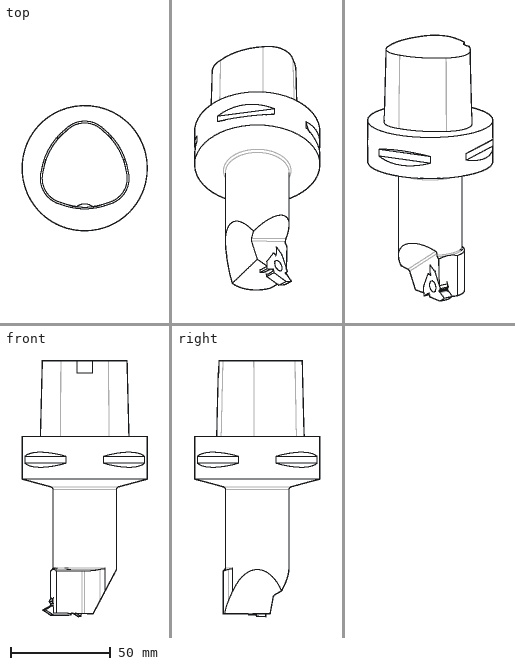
import cadquery as cq
import math

OVERALL_LENGTH = 128.6

SHANK_TOP = 38.1
FLANGE_BOTTOM = -21.5
HEAD_TOP = -66.0
HEAD_END = -90

LOBE_REACH = 23.7
SEAM_REACH = 21.9
VALLEY_REACH = 20.5
LOBE_COUNT = 3
SEAM_ANGLE = 26
SHANK_TAPER = math.degrees(math.atan(1 / 40))

NOTCH_RADIUS = 5.9
NOTCH_DEPTH = 6.3
NOTCH_REACH = 17.9

FLANGE_DIAMETER = 63
CONE_ANGLE = 15
CONE_FILLET = 1.3
SLOT_COUNT = 4
FIRST_SLOT_ANGLE = 45
SLOT_LEVEL = -11.7
SLOT_FLOOR = 27.9
SLOT_FLOOR_HEIGHT = 3.5
SLOT_SIDE_ANGLE = 30

NECK_DIAMETER = 32.0
HEAD_RADIUS = 17.2
HEAD_FILLET = 1.0
SHOULDER_ANGLE = 45
HEAD_FLAT_DISTANCE = 16.3
NOSE_RADIUS = 12.6
NOSE_SWEEP = 38
NOSE_START = -0.1
RUN_OUT_LENGTH = 3.3
FRONT_FLAT_START = -1.4
BACK_CUT_ANGLE = 27.9
BACK_CUT_FOOT = 3.7
END_FACE_LEVEL = -89.0
END_FACE_TILT = 1.5

RAKE_TURN = 16
RAKE_LEAN = 2
INSERT_RADIAL = -10.2
INSERT_OFFSET = 5.3

POCKET_SLOPE = 31
POCKET_ANGLE = 133
POCKET_FILLET = 1.7
POCKET_CORNER = (-3.6, 18.5)
POCKET_SIZE = 64.3

INSERT_EDGES = 3
INSERT_INRADIUS = 6.3
INSERT_THICKNESS = 4.9
INSERT_HOLE = 5.7
TOOTH_TIP = (-10.3, -3.7)
TOOTH_FOOT = -6.2
EDGE_END_LEVEL = 0.5
RELIEF_ROOT = (-5.7, -1.0)
TOOTH_ROOT = (-6.7, -1.7)

FLANGE_RADIUS = FLANGE_DIAMETER / 2
NECK_RADIUS = NECK_DIAMETER / 2


def polar(radius, degrees):
    angle = math.radians(degrees)
    return (radius * math.cos(angle), radius * math.sin(angle))


def turned(point, degrees):
    angle = math.radians(degrees)
    x, y = point
    return (x * math.cos(angle) - y * math.sin(angle), x * math.sin(angle) + y * math.cos(angle))


def make_rake_plane():
    """Plane of the rake face: X runs inward, Y runs up, and the normal points into the head."""
    turn = math.radians(RAKE_TURN)
    lean = math.radians(RAKE_LEAN)
    lowest_level = SHANK_TOP - OVERALL_LENGTH
    tip_drop = -turned(TOOTH_TIP, 360 / INSERT_EDGES)[1] * math.cos(lean)
    insert_level = lowest_level + tip_drop
    inward = cq.Vector(math.cos(turn), math.sin(turn), 0)
    sideways = cq.Vector(-math.sin(turn), math.cos(turn), 0)
    centre = inward * INSERT_RADIAL + sideways * INSERT_OFFSET + cq.Vector(0, 0, insert_level)
    normal = sideways * -math.cos(lean) + cq.Vector(0, 0, math.sin(lean))
    return cq.Plane(origin=centre, xDir=inward, normal=normal)


RAKE_PLANE = make_rake_plane()


def make_shank():
    outline = cq.Workplane("XY").moveTo(*polar(SEAM_REACH, 90 - SEAM_ANGLE))
    lobe_pitch = 360 / LOBE_COUNT
    for index in range(LOBE_COUNT):
        lobe = 90 + index * lobe_pitch
        outline = outline.threePointArc(polar(LOBE_REACH, lobe), polar(SEAM_REACH, lobe + SEAM_ANGLE))
        outline = outline.threePointArc(
            polar(VALLEY_REACH, lobe + lobe_pitch / 2), polar(SEAM_REACH, lobe + lobe_pitch - SEAM_ANGLE)
        )
    shank = outline.close().extrude(SHANK_TOP, taper=SHANK_TAPER)
    notch = (
        cq.Workplane("XY", origin=(0, -NOTCH_REACH - NOTCH_RADIUS, SHANK_TOP - NOTCH_DEPTH))
        .circle(NOTCH_RADIUS)
        .extrude(NOTCH_DEPTH)
    )
    return shank.cut(notch)


def make_slot_cutter(angle):
    """Slot with sloping sides that run out through the rim of the flange."""
    depth = FLANGE_RADIUS - SLOT_FLOOR
    mouth_height = SLOT_FLOOR_HEIGHT + 2 * depth * math.tan(math.radians(SLOT_SIDE_ANGLE))
    return (
        cq.Workplane("YZ", origin=(SLOT_FLOOR, 0, SLOT_LEVEL))
        .rect(FLANGE_DIAMETER, SLOT_FLOOR_HEIGHT)
        .workplane(offset=depth)
        .rect(FLANGE_DIAMETER, mouth_height)
        .loft(ruled=True)
        .rotate((0, 0, 0), (0, 0, 1), angle)
    )


def make_flange_and_neck():
    cone_drop = (FLANGE_RADIUS - NECK_RADIUS) * math.tan(math.radians(CONE_ANGLE))
    cone_bottom = FLANGE_BOTTOM - cone_drop
    body = (
        cq.Workplane("XZ")
        .polyline(
            [
                (0, 0),
                (FLANGE_RADIUS, 0),
                (FLANGE_RADIUS, FLANGE_BOTTOM),
                (NECK_RADIUS, cone_bottom),
                (NECK_RADIUS, HEAD_END),
                (0, HEAD_END),
            ]
        )
        .close()
        .revolve()
    )
    cone_foot = cq.selectors.NearestToPointSelector((0, 0, cone_bottom))
    body = body.edges(cone_foot).fillet(CONE_FILLET)
    for index in range(SLOT_COUNT):
        body = body.cut(make_slot_cutter(FIRST_SLOT_ANGLE + index * 360 / SLOT_COUNT))
    return body


def make_head_boss():
    """Part of the head that stands out past the neck, with a filleted sloping shoulder on top."""
    shoulder = math.radians(SHOULDER_ANGLE)
    half_turn = shoulder / 2
    tangent = HEAD_FILLET * math.tan(half_turn)
    fillet_reach = NECK_RADIUS + tangent * math.sin(shoulder)
    fillet_end = HEAD_TOP - tangent - tangent * math.cos(shoulder)
    shoulder_end = fillet_end - (HEAD_RADIUS - fillet_reach) / math.tan(shoulder)
    fillet_middle = (
        NECK_RADIUS + HEAD_FILLET * (1 - math.cos(half_turn)),
        HEAD_TOP - HEAD_FILLET * math.sin(half_turn),
    )
    boss = (
        cq.Workplane("XZ")
        .moveTo(0, HEAD_TOP)
        .lineTo(NECK_RADIUS, HEAD_TOP)
        .threePointArc(fillet_middle, (fillet_reach, fillet_end))
        .lineTo(HEAD_RADIUS, shoulder_end)
        .lineTo(HEAD_RADIUS, HEAD_END)
        .lineTo(0, HEAD_END)
        .close()
        .revolve()
    )
    front = -math.sqrt(HEAD_RADIUS**2 - FRONT_FLAT_START**2)
    nose_centre = cq.Vector(NOSE_START, front + NOSE_RADIUS)
    nose_middle = nose_centre + cq.Vector(*polar(NOSE_RADIUS, NOSE_SWEEP / 2 - 90))
    nose_end = nose_centre + cq.Vector(*polar(NOSE_RADIUS, NOSE_SWEEP - 90))
    run_out = nose_end + cq.Vector(*polar(RUN_OUT_LENGTH, NOSE_SWEEP))
    plan = (
        cq.Workplane("XY", origin=(0, 0, HEAD_END))
        .moveTo(-HEAD_RADIUS, front)
        .lineTo(NOSE_START, front)
        .threePointArc(nose_middle.toTuple()[:2], nose_end.toTuple()[:2])
        .lineTo(run_out.x, run_out.y)
        .lineTo(0, 0)
        .lineTo(-HEAD_RADIUS, HEAD_RADIUS)
        .close()
        .extrude(HEAD_TOP - HEAD_END)
    )
    flat_side = (
        cq.Workplane("XY", origin=(0, 0, HEAD_END))
        .center(HEAD_RADIUS - HEAD_FLAT_DISTANCE, 0)
        .rect(2 * HEAD_RADIUS, 4 * HEAD_RADIUS)
        .extrude(HEAD_TOP - HEAD_END)
        .rotate((0, 0, 0), (0, 0, 1), RAKE_TURN)
    )
    return boss.intersect(plan).intersect(flat_side)


def make_back_cutter():
    """Slanted cut that narrows the head towards the bottom on the +X side."""
    height = HEAD_TOP - HEAD_END + NECK_RADIUS
    top = BACK_CUT_FOOT + height * math.tan(math.radians(BACK_CUT_ANGLE))
    return (
        cq.Workplane("XZ")
        .polyline([(BACK_CUT_FOOT, HEAD_END), (top, HEAD_END + height), (top, HEAD_END)])
        .close()
        .extrude(FLANGE_RADIUS, both=True)
    )


def make_end_cutter():
    """Block below the slightly tilted end face of the head."""
    drop = FLANGE_RADIUS * math.tan(math.radians(END_FACE_TILT))
    return (
        cq.Workplane("XZ")
        .polyline(
            [
                (-FLANGE_RADIUS, END_FACE_LEVEL + drop),
                (FLANGE_RADIUS, END_FACE_LEVEL - drop),
                (FLANGE_RADIUS, HEAD_END - drop),
                (-FLANGE_RADIUS, HEAD_END - drop),
            ]
        )
        .close()
        .extrude(FLANGE_RADIUS, both=True)
    )


def make_chip_pocket():
    """Filleted wedge cleared away in front of the rake face."""
    corner = RAKE_PLANE.toWorldCoords((*POCKET_CORNER, 0))
    along = RAKE_PLANE.toWorldCoords(polar(1.3, -POCKET_SLOPE)) - RAKE_PLANE.origin
    down = RAKE_PLANE.toWorldCoords(polar(1.3, -POCKET_SLOPE - 90)) - RAKE_PLANE.origin
    return (
        cq.Workplane(cq.Plane(origin=corner, xDir=down, normal=along))
        .polyline(
            [(0, 0), (POCKET_SIZE, 0), (POCKET_SIZE, POCKET_SIZE), polar(POCKET_SIZE, POCKET_ANGLE)]
        )
        .close()
        .extrude(POCKET_SIZE, both=True)
        .edges(cq.selectors.NearestToPointSelector(corner.toTuple()))
        .fillet(POCKET_FILLET)
    )


def make_insert_blank():
    """Three-edged plate with a thread tooth and a relief notch at each corner."""
    side = math.radians(90 / INSERT_EDGES)
    edge_end = (
        -(INSERT_INRADIUS - EDGE_END_LEVEL * math.sin(side)) / math.cos(side),
        EDGE_END_LEVEL,
    )
    corner = [edge_end, RELIEF_ROOT, TOOTH_ROOT, TOOTH_TIP, (TOOTH_FOOT, -INSERT_INRADIUS)]
    outline = [
        turned(point, index * 360 / INSERT_EDGES) for index in range(INSERT_EDGES) for point in corner
    ]
    return cq.Workplane(RAKE_PLANE).polyline(outline).close().extrude(INSERT_THICKNESS)


def make_holder():
    holder = make_flange_and_neck().union(make_head_boss()).union(make_shank())
    holder = holder.cut(make_back_cutter()).cut(make_end_cutter()).cut(make_chip_pocket())
    return holder.cut(make_insert_blank())


def make_insert():
    hole = cq.Workplane(RAKE_PLANE).circle(INSERT_HOLE / 2).extrude(INSERT_THICKNESS)
    return make_insert_blank().cut(hole)


holder = make_holder()
insert = make_insert()
result = cq.Compound.makeCompound([holder.solids().val(), insert.solids().val()])